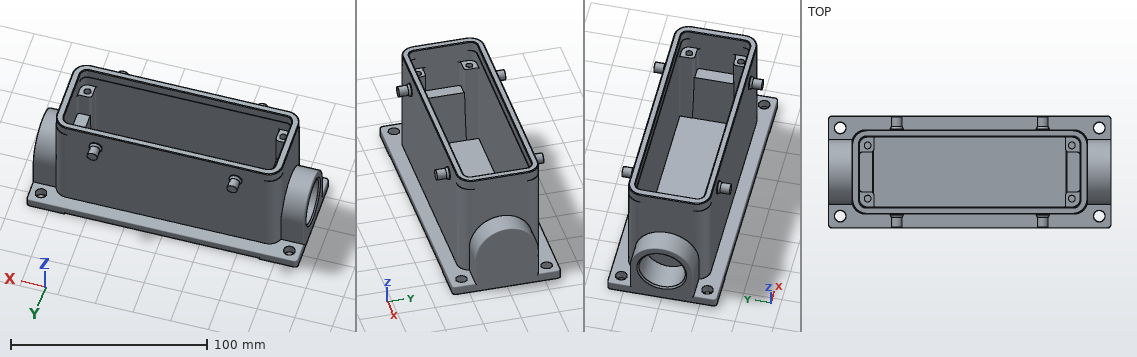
import cadquery as cq

PLATE_LENGTH = 144.0
PLATE_WIDTH = 57.0
PLATE_TOP = 4.8
PLATE_CORNER_RADIUS = 1.9
EDGE_ROUND = 0.6
FOOT_GAP_LENGTH = 103.4
FOOT_HEIGHT = 0.7
MOUNT_HOLE_DIAMETER = 5.8
MOUNT_HOLE_X = 66.0
MOUNT_HOLE_Y = 22.5

HOUSING_LENGTH = 120.1
HOUSING_WIDTH = 42.9
HOUSING_TOP = 61.0
BAND_HEIGHT = 5.5
BAND_BOTTOM = HOUSING_TOP - BAND_HEIGHT
LOWER_CORNER_RADIUS = 7.0
BAND_CORNER_RADIUS = 7.5
RIM_CHAMFER = 0.5

CAVITY_LENGTH = 112.3
CAVITY_WIDTH = 35.4
MOUTH_WIDTH = 36.0
CAVITY_CORNER_RADIUS = 3.7
FLOOR_Z = PLATE_TOP

POST_TOP = 49.4
POST_INNER_X = 48.8
POST_INNER_Y = 10.1
POST_EDGE_RADIUS = 1.7
SIDE_ROOT_RADIUS = 0.6
END_ROOT_RADIUS = 1.3
POST_HOLE_DIAMETER = 3.5
POST_HOLE_DEPTH = 14.4
POST_HOLE_X = 52.0
POST_HOLE_Y = 13.5
BLOCK_TOP = 34.5
BLOCK_TOP_INNER_X = 49.5

ENTRY_RADIUS = 16.5
ENTRY_AXIS_Z = 19.6
BORE_RADIUS = 12.1
BORE_DEPTH = 15.3
BORE_CHAMFER = 0.9

PIN_X = 37.2
PIN_Z = 51.1
PIN_DIAMETER = 5.3
PIN_RADIUS = PIN_DIAMETER / 2
PIN_END_Y = 28.1
COLLAR_DIAMETER = 6.8
COLLAR_RADIUS = COLLAR_DIAMETER / 2
COLLAR_LENGTH = 0.5
COLLAR_TAPER_LENGTH = 1.3


def rounded_block(length, width, bottom, top, radius):
    """Upright block centred on the Z axis with rounded vertical edges."""
    block = cq.Workplane("XY").workplane(offset=bottom).rect(length, width).extrude(top - bottom)
    return block.edges("|Z").fillet(radius)


def mounting_plate():
    plate = rounded_block(PLATE_LENGTH, PLATE_WIDTH, 0, PLATE_TOP, PLATE_CORNER_RADIUS)
    return plate.faces(">Z").edges().fillet(EDGE_ROUND)


def cavity():
    lower = rounded_block(CAVITY_LENGTH, CAVITY_WIDTH, FLOOR_Z, BAND_BOTTOM, CAVITY_CORNER_RADIUS)
    mouth = rounded_block(CAVITY_LENGTH, MOUTH_WIDTH, BAND_BOTTOM, HOUSING_TOP, CAVITY_CORNER_RADIUS)
    return lower.union(mouth)


def housing_block():
    lower = rounded_block(HOUSING_LENGTH, HOUSING_WIDTH, 0, BAND_BOTTOM, LOWER_CORNER_RADIUS)
    band = rounded_block(HOUSING_LENGTH, HOUSING_WIDTH, BAND_BOTTOM, HOUSING_TOP, BAND_CORNER_RADIUS)
    return lower.union(band)


def cable_entries():
    """Arched bosses on both ends, made as one bar that runs through the housing."""
    arch = (
        cq.Workplane("YZ", origin=(-PLATE_LENGTH / 2, 0, 0))
        .moveTo(-ENTRY_RADIUS, 0)
        .lineTo(-ENTRY_RADIUS, ENTRY_AXIS_Z)
        .threePointArc((0, ENTRY_AXIS_Z + ENTRY_RADIUS), (ENTRY_RADIUS, ENTRY_AXIS_Z))
        .lineTo(ENTRY_RADIUS, 0)
        .close()
        .extrude(PLATE_LENGTH)
    )
    return arch.faces("<X or >X").edges("not <Z").fillet(EDGE_ROUND)


def entry_bore():
    """Blind bore of the -X cable entry with a chamfered mouth."""
    outer_x = -PLATE_LENGTH / 2
    mouth_radius = BORE_RADIUS + BORE_CHAMFER
    profile = [
        (outer_x, 0),
        (outer_x, mouth_radius),
        (outer_x + BORE_CHAMFER, BORE_RADIUS),
        (outer_x + BORE_DEPTH, BORE_RADIUS),
        (outer_x + BORE_DEPTH, 0),
    ]
    bore = cq.Workplane("XZ").polyline(profile).close().revolve(360, (0, 0, 0), (1, 0, 0))
    return bore.translate((0, 0, ENTRY_AXIS_Z))


def screw_post():
    """Post in the +X +Y cavity corner, blended into both walls."""
    wall_x = CAVITY_LENGTH / 2
    wall_y = CAVITY_WIDTH / 2
    outline = (
        cq.Workplane("XY")
        .moveTo(wall_x, wall_y)
        .lineTo(POST_INNER_X - SIDE_ROOT_RADIUS, wall_y)
        .radiusArc((POST_INNER_X, wall_y - SIDE_ROOT_RADIUS), SIDE_ROOT_RADIUS)
        .lineTo(POST_INNER_X, POST_INNER_Y + POST_EDGE_RADIUS)
        .radiusArc((POST_INNER_X + POST_EDGE_RADIUS, POST_INNER_Y), -POST_EDGE_RADIUS)
        .lineTo(wall_x - END_ROOT_RADIUS, POST_INNER_Y)
        .radiusArc((wall_x, POST_INNER_Y - END_ROOT_RADIUS), END_ROOT_RADIUS)
        .close()
    )
    post = outline.extrude(POST_TOP).intersect(cavity())
    hole = (
        cq.Workplane("XY", origin=(POST_HOLE_X, POST_HOLE_Y, POST_TOP - POST_HOLE_DEPTH))
        .circle(POST_HOLE_DIAMETER / 2)
        .extrude(POST_HOLE_DEPTH)
    )
    return post.cut(hole)


def end_block():
    """Block between the +X posts, its inner face leaning back towards the top."""
    outer_x = (CAVITY_LENGTH + HOUSING_LENGTH) / 4
    profile = [(POST_INNER_X, 0), (BLOCK_TOP_INNER_X, BLOCK_TOP), (outer_x, BLOCK_TOP), (outer_x, 0)]
    half_width = POST_INNER_Y + POST_EDGE_RADIUS
    return cq.Workplane("XZ").polyline(profile).close().extrude(half_width, both=True)


def locking_pin():
    """Pin on the +Y wall at +X, with a tapered collar at its root."""
    wall_y = HOUSING_WIDTH / 2
    root_y = (HOUSING_WIDTH + CAVITY_WIDTH) / 4
    collar_y = wall_y + COLLAR_LENGTH
    profile = [
        (0, root_y),
        (COLLAR_RADIUS, root_y),
        (COLLAR_RADIUS, collar_y),
        (PIN_RADIUS, collar_y + COLLAR_TAPER_LENGTH),
        (PIN_RADIUS, PIN_END_Y),
        (0, PIN_END_Y),
    ]
    pin = cq.Workplane("XY").polyline(profile).close().revolve(360, (0, 0, 0), (0, 1, 0))
    return pin.translate((PIN_X, 0, PIN_Z))


def four_quadrants(shape):
    """Mirror a +X +Y feature into all four corners."""
    pair = shape.union(shape.mirror("YZ"))
    return pair.union(pair.mirror("XZ"))


result = mounting_plate().union(housing_block()).union(cable_entries()).cut(cavity())
result = result.faces(">Z").edges().chamfer(RIM_CHAMFER)

block = end_block()
result = result.union(block).union(block.mirror("YZ"))
result = result.union(four_quadrants(screw_post()))
result = result.union(four_quadrants(locking_pin()))
result = result.cut(entry_bore())

foot_gap = cq.Workplane("XY").rect(FOOT_GAP_LENGTH, PLATE_WIDTH).extrude(FOOT_HEIGHT)
result = result.cut(foot_gap)

mount_holes = (
    cq.Workplane("XY")
    .rect(2 * MOUNT_HOLE_X, 2 * MOUNT_HOLE_Y, forConstruction=True)
    .vertices()
    .circle(MOUNT_HOLE_DIAMETER / 2)
    .extrude(PLATE_TOP)
)
result = result.cut(mount_holes)